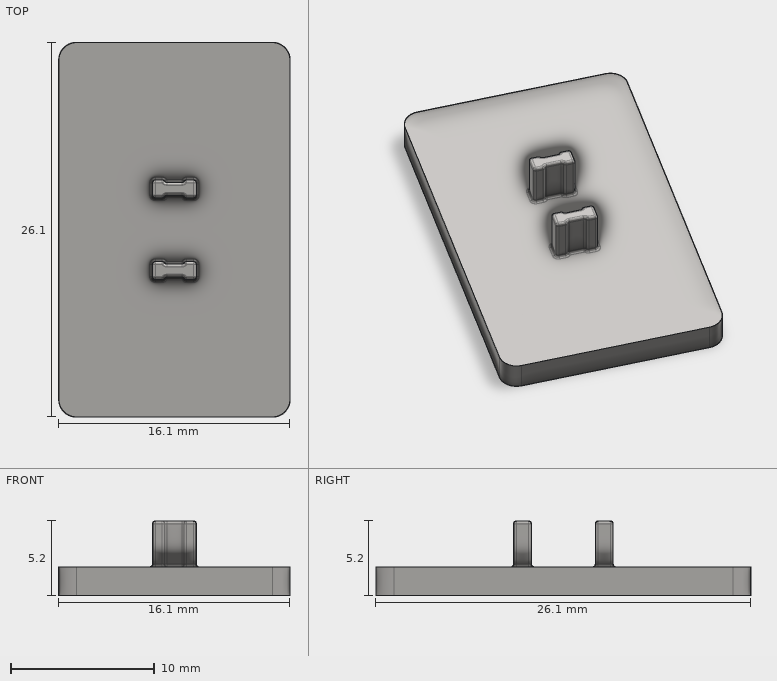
import cadquery as cq
import math

plate_width = 16.15
plate_length = 26.15
plate_thickness = 2.0
plate_corner_radius = 1.25

total_height = 5.2
tab_height = total_height - plate_thickness
tab_width = 3.05
tab_depth = 1.25
tab_spacing = 5.7

groove_depth = 0.175
groove_floor_width = 1.04

bend_radius = 0.2
rim_radius = 0.2


def make_plate():
    plate = cq.Workplane("XY").box(
        plate_width, plate_length, plate_thickness, centered=(True, True, False)
    )
    return plate.edges("|Z").fillet(plate_corner_radius)


def quarter_outline(center_y):
    """Quarter of a rounded rectangle whose long side dips into the groove along an S-bend."""
    half_width = tab_width / 2
    half_depth = tab_depth / 2
    floor_half = groove_floor_width / 2
    floor_y = half_depth - groove_depth

    bend_angle = math.acos(1 - groove_depth / (2 * bend_radius))
    bend_run = bend_radius * math.sin(bend_angle)
    half_bend_run = bend_radius * math.sin(bend_angle / 2)
    half_bend_rise = bend_radius * (1 - math.cos(bend_angle / 2))
    meet_x = floor_half + bend_run
    meet_y = half_depth - groove_depth / 2
    lip_x = floor_half + 2 * bend_run

    corner_x = half_width - bend_radius
    corner_y = half_depth - bend_radius
    corner_mid = bend_radius * math.sqrt(0.5)

    return (
        cq.Workplane("XY", origin=(0, center_y, plate_thickness))
        .lineTo(0, floor_y)
        .lineTo(floor_half, floor_y)
        .threePointArc((floor_half + half_bend_run, floor_y + half_bend_rise), (meet_x, meet_y))
        .threePointArc((lip_x - half_bend_run, half_depth - half_bend_rise), (lip_x, half_depth))
        .lineTo(corner_x, half_depth)
        .threePointArc((corner_x + corner_mid, corner_y + corner_mid), (half_width, corner_y))
        .lineTo(half_width, 0)
        .close()
    )


def make_tab(center_y):
    """Tab built from a quarter mirrored about both of its upright middle planes."""
    quarter = quarter_outline(center_y).extrude(tab_height)
    middle = (0, center_y, 0)
    half = quarter.union(quarter.mirror("YZ", middle))
    return half.union(half.mirror("XZ", middle)).clean()


result = make_plate()
for side in (-1, 1):
    result = result.union(make_tab(side * tab_spacing / 2))

result = result.faces(">Z").edges().fillet(rim_radius)

half_span = tab_spacing / 2 + tab_depth
foot_region = cq.selectors.BoxSelector(
    (-tab_width, -half_span, plate_thickness - rim_radius / 2),
    (tab_width, half_span, plate_thickness + rim_radius / 2),
)
result = result.edges(foot_region).fillet(rim_radius)